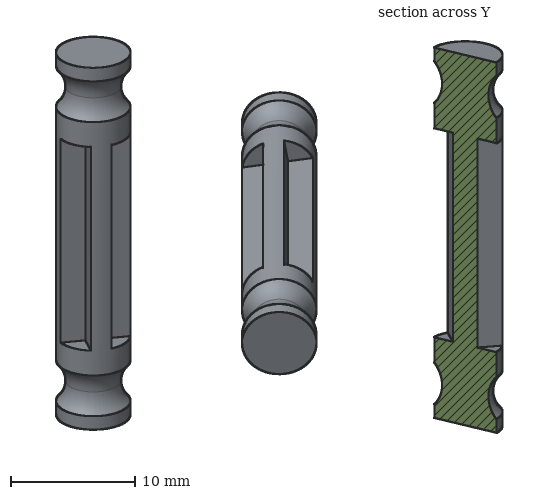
import cadquery as cq

length = 32.0
radius = 3.0

rim_height = 1.2
neck_height = 3.6
neck_depth = 0.75

end_length = 7.0
web_thickness = 1.7

half_neck = neck_height / 2
groove_section_radius = (half_neck**2 + neck_depth**2) / (2 * neck_depth)
groove_ring_radius = radius - neck_depth + groove_section_radius
neck_z = length / 2 - rim_height - half_neck
flute_length = length - 2 * end_length


def make_blank():
    """Plain cylinder centred on the origin."""
    return cq.Workplane("XY").circle(radius).extrude(length / 2, both=True)


def neck_cutter(z):
    """Ring around the Z axis that cuts one neck at height z."""
    return (
        cq.Workplane("XZ")
        .center(-groove_ring_radius, z)
        .circle(groove_section_radius)
        .revolve(360, (groove_ring_radius, 0, 0), (groove_ring_radius, 1, 0))
    )


def flute_cutter(angle):
    """Square bar, turned about Z, whose inner corner edge forms the root of one flute."""
    root_offset = web_thickness / 2
    return (
        cq.Workplane("XY")
        .box(radius, radius, flute_length, centered=(False, False, True))
        .translate((root_offset, root_offset, 0))
        .rotate((0, 0, 0), (0, 0, 1), angle)
    )


pin = make_blank()

for z in (-neck_z, neck_z):
    pin = pin.cut(neck_cutter(z))

for quarter in range(4):
    pin = pin.cut(flute_cutter(45 + 90 * quarter))

result = pin